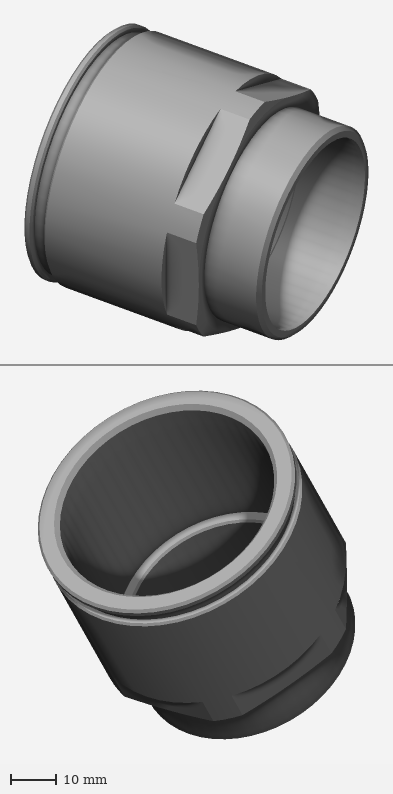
import cadquery as cq
import math

total_length = 57.0
body_radius = 30.0
groove_radius = 28.5
spigot_radius = 50.0 / 2
bore_radius = 50.0 / 2
through_radius = 45.0 / 2

groove_start = 2.1
groove_end = 5.1
hex_start = 35.0
hex_end = 43.0
bore_depth = 40.0

hex_sides = 6
across_flats = 55.0
cutter_margin = 6.0
hex_chamfer_angle = 15.0

end_chamfer = 0.6
groove_chamfer = 0.5
spigot_chamfer = 0.9
bore_chamfer = 1.0
through_chamfer = 0.5

flat_radius = across_flats / 2
hex_chamfer_length = (body_radius - flat_radius) * math.tan(math.radians(hex_chamfer_angle))


def revolved_sleeve():
    """Revolve the wall section, listed as (X, radius), about the X axis."""
    outside = [
        (0, body_radius - end_chamfer),
        (end_chamfer, body_radius),
        (groove_start - groove_chamfer, body_radius),
        (groove_start, body_radius - groove_chamfer),
        (groove_start, groove_radius),
        (groove_end, groove_radius),
        (groove_end, body_radius - groove_chamfer),
        (groove_end + groove_chamfer, body_radius),
        (hex_end - hex_chamfer_length, body_radius),
        (hex_end, flat_radius),
        (hex_end, spigot_radius),
        (total_length - spigot_chamfer, spigot_radius),
        (total_length, spigot_radius - spigot_chamfer),
    ]
    inside = [
        (total_length, through_radius),
        (bore_depth + through_chamfer, through_radius),
        (bore_depth, through_radius + through_chamfer),
        (bore_depth, bore_radius),
        (bore_chamfer, bore_radius),
        (0, bore_radius + bore_chamfer),
    ]
    section = cq.Workplane("XY").polyline(outside + inside).close()
    return section.revolve(360, (0, 0, 0), (1, 0, 0))


def hex_flat_cutter():
    """Ring that removes everything outside the hexagon, with two flats facing +Y and -Y."""
    hex_length = hex_end - hex_start
    corner_diameter = across_flats / math.cos(math.pi / hex_sides)
    hexagon = (
        cq.Workplane("YZ", origin=(hex_start, 0, 0))
        .transformed(rotate=(0, 0, 90))
        .polygon(hex_sides, corner_diameter)
        .extrude(hex_length)
    )
    ring_blank = (
        cq.Workplane("YZ", origin=(hex_start, 0, 0))
        .circle(body_radius + cutter_margin)
        .extrude(hex_length)
    )
    return ring_blank.cut(hexagon)


result = revolved_sleeve().cut(hex_flat_cutter())